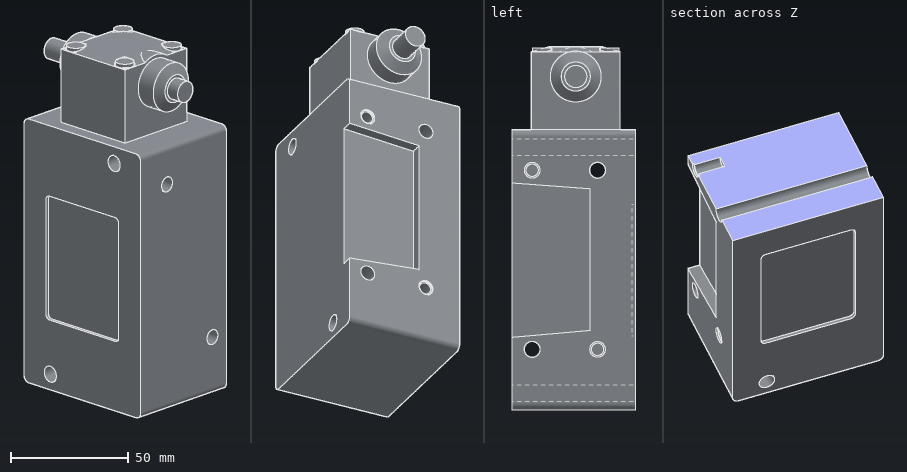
import cadquery as cq
import math

body_width = 69.1
body_depth = 52.8
body_height = 119.6
body_corner_radius = 2.8

panel_width = 43.0
panel_bottom = 31.6
panel_top = 87.7
panel_depth = 1.5
panel_corner_radius = 2.2

front_hole_diameter = 7.1
front_hole_offset = 18.9
front_hole_low = 7.1
front_hole_high = 112.0

side_hole_diameter = 6.7
side_hole_front = 16.3
side_hole_rear = 44.2
side_hole_low = 25.9
side_hole_high = 102.3
blind_mouth_diameter = side_hole_diameter
blind_bore_diameter = 5.3
blind_mouth_depth = 0.8
blind_depth = 12.4

recess_depth = 5.5
recess_front = 19.5
recess_front_bottom = 34.0
recess_front_top = 94.4
recess_rear_bottom = 31.0
recess_rear_top = 96.8

head_size = 38.0
head_y = 25.5
total_height = 155.0
head_top = 152.8
cap_top_size = 22.6

screw_spacing = 29.0
screw_diameter = 8.0
spotface_diameter = 8.7
screw_top = 154.5

shaft_z = 142.2
shaft_diameter = 9.5
shaft_left = -42.8
shaft_right = 36.4
hub_diameter = 21.7
hub_nose_diameter = 12.4
hub_left_shoulder = -27.5
hub_left_end = -30.7
hub_right_shoulder = 27.9
hub_right_end = 30.4

seat_diameter = 25.1


def x_cylinder(diameter, x_start, x_end, y, z):
    """Cylinder parallel to X between two X positions."""
    return cq.Workplane("YZ", origin=(x_start, y, z)).circle(diameter / 2).extrude(x_end - x_start)


def make_housing():
    block = cq.Workplane("XY").box(body_width, body_depth, body_height, centered=(True, False, False))
    block = block.edges("|Y").fillet(body_corner_radius)
    panel_height = panel_top - panel_bottom
    panel = (
        cq.Workplane("XY", origin=(0, 0, panel_bottom))
        .box(panel_width, panel_depth, panel_height, centered=(True, False, False))
        .edges("|Y")
        .fillet(panel_corner_radius)
    )
    return block.cut(panel)


def make_front_holes():
    places = [(front_hole_offset, front_hole_high), (-front_hole_offset, front_hole_low)]
    return cq.Workplane("XZ").pushPoints(places).circle(front_hole_diameter / 2).extrude(-body_depth)


def make_side_holes():
    side = -body_width / 2
    holes = cq.Workplane("XY")
    for y, z in [(side_hole_front, side_hole_high), (side_hole_rear, side_hole_low)]:
        holes = holes.add(x_cylinder(side_hole_diameter, side, -side, y, z))
    for y, z in [(side_hole_front, side_hole_low), (side_hole_rear, side_hole_high)]:
        mouth = x_cylinder(blind_mouth_diameter, side, side + blind_mouth_depth, y, z)
        bore = x_cylinder(blind_bore_diameter, side, side + blind_depth, y, z)
        holes = holes.add(mouth.union(bore))
    return holes.combine()


def make_side_recess():
    outline = [
        (recess_front, recess_front_bottom),
        (body_depth, recess_rear_bottom),
        (body_depth, recess_rear_top),
        (recess_front, recess_front_top),
    ]
    return cq.Workplane("YZ", origin=(-body_width / 2, 0, 0)).polyline(outline).close().extrude(recess_depth)


def make_head():
    block = cq.Workplane("XY", origin=(0, head_y, body_height)).rect(head_size, head_size)
    block = block.extrude(head_top - body_height)
    cap = (
        cq.Workplane("XY", origin=(0, head_y, head_top))
        .rect(head_size, head_size)
        .workplane(offset=total_height - head_top)
        .rect(cap_top_size, cap_top_size)
        .loft(ruled=True)
    )
    return block.union(cap)


def corner_cylinders(diameter, top):
    """Upright cylinders at the four screw places, standing on the base of the cap."""
    return (
        cq.Workplane("XY", origin=(0, head_y, head_top))
        .rect(screw_spacing, screw_spacing, forConstruction=True)
        .vertices()
        .circle(diameter / 2)
        .extrude(top - head_top)
    )


def make_shaft_end(shoulder, nose, tip):
    """Hub and shaft stub on one side of the head, turned about the shaft axis."""
    side = math.copysign(head_size / 2, tip)
    profile = [
        (side, 0),
        (side, hub_diameter / 2),
        (shoulder, hub_diameter / 2),
        (nose, hub_nose_diameter / 2),
        (nose, shaft_diameter / 2),
        (tip, shaft_diameter / 2),
        (tip, 0),
    ]
    turned = cq.Workplane("XY").polyline(profile).close().revolve(360, (0, 0, 0), (1, 0, 0))
    return turned.translate((0, head_y, shaft_z))


def make_bearing_seat():
    return x_cylinder(seat_diameter, 0, head_size / 2, head_y, shaft_z)


housing = make_housing().cut(make_front_holes()).cut(make_side_holes()).cut(make_side_recess())
head = make_head().union(make_bearing_seat())
head = head.cut(corner_cylinders(spotface_diameter, total_height))
head = head.union(corner_cylinders(screw_diameter, screw_top))
head = head.union(make_shaft_end(hub_left_shoulder, hub_left_end, shaft_left))
head = head.union(make_shaft_end(hub_right_shoulder, hub_right_end, shaft_right))
result = housing.union(head)